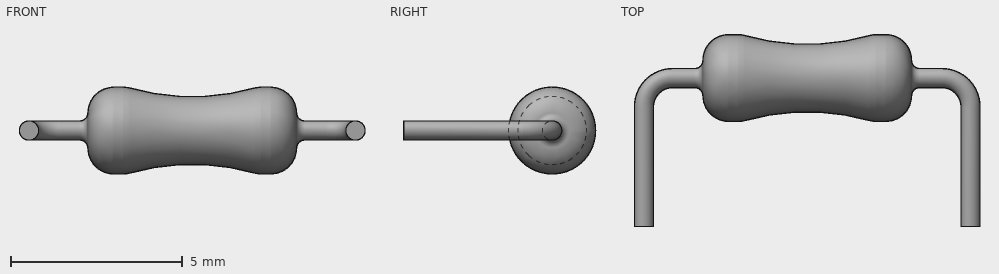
import cadquery as cq
import math

overall_length = 10.08
body_radius = 1.27
overall_depth = 5.59

body_half_length = 3.04
corner_radius = 0.76
band_inner_x = 2.01
waist_blend_x = 1.82
waist_radius = 0.99

lead_radius = 0.28
bend_radius = 0.84
lead_x = overall_length / 2 - lead_radius
lead_end_y = body_radius - overall_depth
bend_start_x = lead_x - bend_radius

neck_radius = body_radius - corner_radius - lead_radius
neck_outer_x = body_half_length + neck_radius

blend_angle = 2 * math.atan((body_radius - waist_radius) / band_inner_x)
waist_arc_radius = waist_blend_x / math.sin(blend_angle)
shoulder_radius = (band_inner_x - waist_blend_x) / math.sin(blend_angle)


def arc_point(center_x, center_r, radius, angle):
    """Point on a profile arc; the angle is measured from the radial direction."""
    return (center_x + radius * math.sin(angle), center_r + radius * math.cos(angle))


def mirrored(point):
    """The same profile point on the -X side."""
    return (-point[0], point[1])


def make_body():
    """Revolve the waisted body, with a flared neck at each end, about the X axis."""
    waist_center_r = waist_radius + waist_arc_radius
    shoulder_center_r = body_radius - shoulder_radius
    corner_center_x = body_half_length - corner_radius
    corner_center_r = body_radius - corner_radius

    waist_end = arc_point(0, waist_center_r, waist_arc_radius, math.pi - blend_angle)
    shoulder_mid = arc_point(band_inner_x, shoulder_center_r, shoulder_radius, -blend_angle / 2)
    band_inner = (band_inner_x, body_radius)
    band_outer = (corner_center_x, body_radius)
    corner_mid = arc_point(corner_center_x, corner_center_r, corner_radius, math.pi / 4)
    neck_inner = (body_half_length, corner_center_r)
    neck_mid = arc_point(neck_outer_x, corner_center_r, neck_radius, -3 * math.pi / 4)
    neck_outer = (neck_outer_x, lead_radius)

    return (
        cq.Workplane("XY")
        .moveTo(-neck_outer_x, 0)
        .lineTo(*mirrored(neck_outer))
        .threePointArc(mirrored(neck_mid), mirrored(neck_inner))
        .threePointArc(mirrored(corner_mid), mirrored(band_outer))
        .lineTo(*mirrored(band_inner))
        .threePointArc(mirrored(shoulder_mid), mirrored(waist_end))
        .threePointArc((0, waist_radius), waist_end)
        .threePointArc(shoulder_mid, band_inner)
        .lineTo(*band_outer)
        .threePointArc(corner_mid, neck_inner)
        .threePointArc(neck_mid, neck_outer)
        .lineTo(neck_outer_x, 0)
        .close()
        .revolve(360, (0, 0, 0), (1, 0, 0))
    )


def make_lead():
    """Sweep the +X lead outward from the neck, around the bend and toward -Y."""
    bend_mid = arc_point(bend_start_x, -bend_radius, bend_radius, math.pi / 4)
    path = (
        cq.Workplane("XY")
        .moveTo(neck_outer_x, 0)
        .lineTo(bend_start_x, 0)
        .threePointArc(bend_mid, (lead_x, -bend_radius))
        .lineTo(lead_x, lead_end_y)
    )
    return cq.Workplane("YZ", origin=(neck_outer_x, 0, 0)).circle(lead_radius).sweep(path)


lead = make_lead()
result = make_body().union(lead).union(lead.mirror("YZ"))